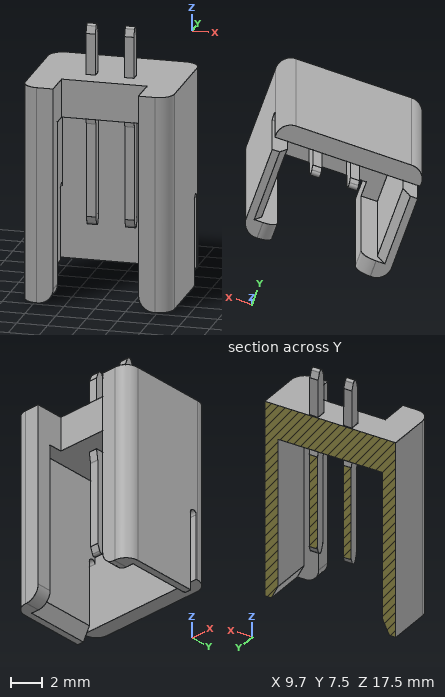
import cadquery as cq
import math

BODY_WIDTH = 9.7
BODY_DEPTH = 7.5
BODY_HEIGHT = 14.2
CORNER_RADIUS = 1.0
ROOF_THICKNESS = 2.5

SIDE_WALL = 1.0
BACK_WALL = 1.14
LIP_THICKNESS = 1.1
WINDOW_WIDTH = 5.54
WINDOW_DEPTH = 2.08
LIP_END_RADIUS = 1.0
LEAD_IN_WIDTH = 0.5
LEAD_IN_HEIGHT = 1.0

RELIEF_WIDTH = 0.5
RELIEF_HEIGHT = 6.0
TAB_SHORTENING = 1.0

PIN_PITCH = 2.5
PIN_WIDTH = 0.62
PIN_THICKNESS = 0.7
PIN_TOP = 17.5
PIN_BOTTOM = 4.2
PIN_TAPER_LENGTH = 0.6
PIN_TAPER_ANGLE = 20.0
PIN_BEND_OFFSET = 0.12
PIN_BEND_LENGTH = 0.77

BACK_Y = BODY_DEPTH / 2
FRONT_Y = -BODY_DEPTH / 2
CAVITY_WIDTH = BODY_WIDTH - 2 * SIDE_WALL
CAVITY_BACK_Y = BACK_Y - BACK_WALL
CAVITY_FRONT_Y = FRONT_Y + LIP_THICKNESS
CAVITY_HEIGHT = BODY_HEIGHT - ROOF_THICKNESS


def block(x_min, x_max, y_min, y_max, z_min, z_max):
    """Axis-aligned box between two opposite corners."""
    size = (x_max - x_min, y_max - y_min, z_max - z_min)
    return cq.Workplane("XY").box(*size, centered=False).translate((x_min, y_min, z_min))


def make_shell():
    """Rounded block with the cavity open at the bottom and the window open at the front."""
    shell = cq.Workplane("XY").box(BODY_WIDTH, BODY_DEPTH, BODY_HEIGHT, centered=(True, True, False))
    shell = shell.edges("|Z").fillet(CORNER_RADIUS)
    half_cavity = CAVITY_WIDTH / 2
    half_window = WINDOW_WIDTH / 2
    cavity = block(-half_cavity, half_cavity, CAVITY_FRONT_Y, CAVITY_BACK_Y, 0, CAVITY_HEIGHT)
    window = block(-half_window, half_window, FRONT_Y, FRONT_Y + WINDOW_DEPTH, 0, BODY_HEIGHT)
    return shell.cut(cavity).cut(window)


def round_lip_ends(shell):
    """Round the bottom inner corner of both lips."""
    lip_y = FRONT_Y + LIP_THICKNESS / 2
    for side in (-1, 1):
        corner = (side * WINDOW_WIDTH / 2, lip_y, 0)
        shell = shell.edges(cq.selectors.NearestToPointSelector(corner)).fillet(LIP_END_RADIUS)
    return shell


def make_lead_in():
    """Flared mouth of the cavity, widening along X toward the open end."""
    half_cavity = CAVITY_WIDTH / 2
    half_mouth = half_cavity + LEAD_IN_WIDTH
    profile = [
        (-half_mouth, 0),
        (half_mouth, 0),
        (half_cavity, LEAD_IN_HEIGHT),
        (-half_cavity, LEAD_IN_HEIGHT),
    ]
    length = CAVITY_BACK_Y - CAVITY_FRONT_Y
    flare = cq.Workplane("XZ").polyline(profile).close().extrude(-length)
    return flare.translate((0, CAVITY_FRONT_Y, 0))


def make_tab_relief():
    """Round-topped slots beside the latch tab plus the space below its shortened end."""
    half_width = BODY_WIDTH / 2
    slot_back_y = CAVITY_BACK_Y
    slot_front_y = slot_back_y - RELIEF_WIDTH
    slot = (
        cq.Workplane("YZ", origin=(-half_width, 0, 0))
        .moveTo(slot_front_y, 0)
        .lineTo(slot_front_y, RELIEF_HEIGHT - RELIEF_WIDTH / 2)
        .threePointArc(
            ((slot_front_y + slot_back_y) / 2, RELIEF_HEIGHT),
            (slot_back_y, RELIEF_HEIGHT - RELIEF_WIDTH / 2),
        )
        .lineTo(slot_back_y, 0)
        .close()
        .extrude(BODY_WIDTH)
    )
    below_tab = block(-half_width, half_width, slot_front_y, BACK_Y, 0, TAB_SHORTENING)
    return slot.union(below_tab)


def make_pin():
    """Bent pin whose ends taper to a round nose, centred on X = 0."""
    half = PIN_THICKNESS / 2
    angle = math.radians(PIN_TAPER_ANGLE)
    end_half = half - PIN_TAPER_LENGTH * math.tan(angle)
    nose_radius = end_half * math.cos(angle) / (1 - math.sin(angle))
    nose_half = nose_radius * math.cos(angle)
    nose_length = nose_radius * (1 - math.sin(angle))
    low = PIN_BEND_OFFSET
    bend_end = CAVITY_HEIGHT - PIN_BEND_LENGTH
    top_flank = PIN_TOP - PIN_TAPER_LENGTH
    bottom_flank = PIN_BOTTOM + PIN_TAPER_LENGTH
    outline = (
        cq.Workplane("YZ", origin=(-PIN_WIDTH / 2, 0, 0))
        .moveTo(-half, CAVITY_HEIGHT)
        .lineTo(-half, top_flank)
        .lineTo(-nose_half, PIN_TOP - nose_length)
        .threePointArc((0, PIN_TOP), (nose_half, PIN_TOP - nose_length))
        .lineTo(half, top_flank)
        .lineTo(half, CAVITY_HEIGHT)
        .lineTo(low + half, bend_end)
        .lineTo(low + half, bottom_flank)
        .lineTo(low + nose_half, PIN_BOTTOM + nose_length)
        .threePointArc((low, PIN_BOTTOM), (low - nose_half, PIN_BOTTOM + nose_length))
        .lineTo(low - half, bottom_flank)
        .lineTo(low - half, bend_end)
        .close()
    )
    return outline.extrude(PIN_WIDTH)


result = round_lip_ends(make_shell()).cut(make_lead_in()).cut(make_tab_relief())
for pin_x in (-PIN_PITCH / 2, PIN_PITCH / 2):
    result = result.union(make_pin().translate((pin_x, 0, 0)))